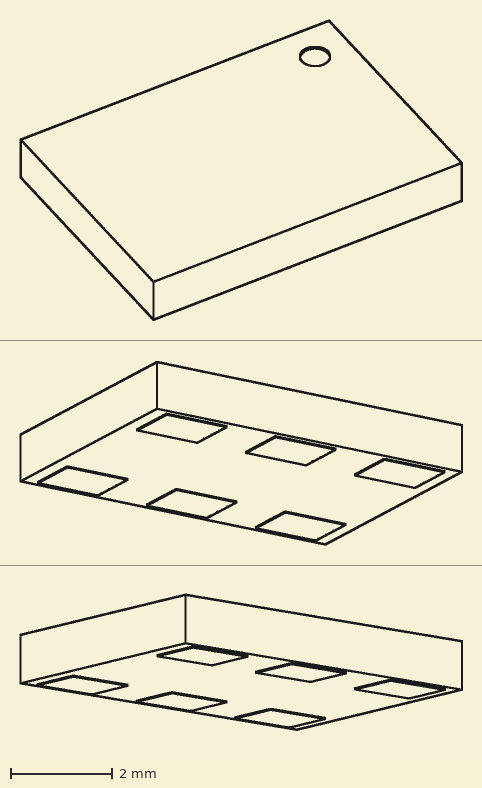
import cadquery as cq

body_width = 5.1
body_length = 7.1
total_height = 1.0

pad_thickness = 0.02
pad_width = 1.1
pad_length = 1.4
pad_column_pitch = 3.7
pad_row_pitch = 2.535
pad_columns = 2
pad_rows = 3

mark_diameter = 0.595
mark_depth = 0.05
mark_inset = 0.8

body_height = total_height - pad_thickness


def make_housing():
    """Plain block resting on the pads, with the pin-one recess near its -X, +Y corner."""
    block = cq.Workplane("XY").box(
        body_width, body_length, body_height, centered=(True, True, False)
    )
    mark_x = mark_inset - body_width / 2
    mark_y = body_length / 2 - mark_inset
    recess = (
        cq.Workplane("XY", origin=(mark_x, mark_y, body_height - mark_depth))
        .circle(mark_diameter / 2)
        .extrude(mark_depth)
    )
    return block.cut(recess)


def make_pad(x, y):
    """Thin rectangular pad hanging from the underside of the housing at z = 0."""
    return (
        cq.Workplane("XY", origin=(x, y, 0))
        .rect(pad_width, pad_length)
        .extrude(-pad_thickness)
    )


housing = make_housing()

pads = []
for column in range(pad_columns):
    for row in range(pad_rows):
        pad_x = (column - (pad_columns - 1) / 2) * pad_column_pitch
        pad_y = (row - (pad_rows - 1) / 2) * pad_row_pitch
        pads.append(make_pad(pad_x, pad_y))

result = cq.Compound.makeCompound([housing.val(), *[pad.val() for pad in pads]])